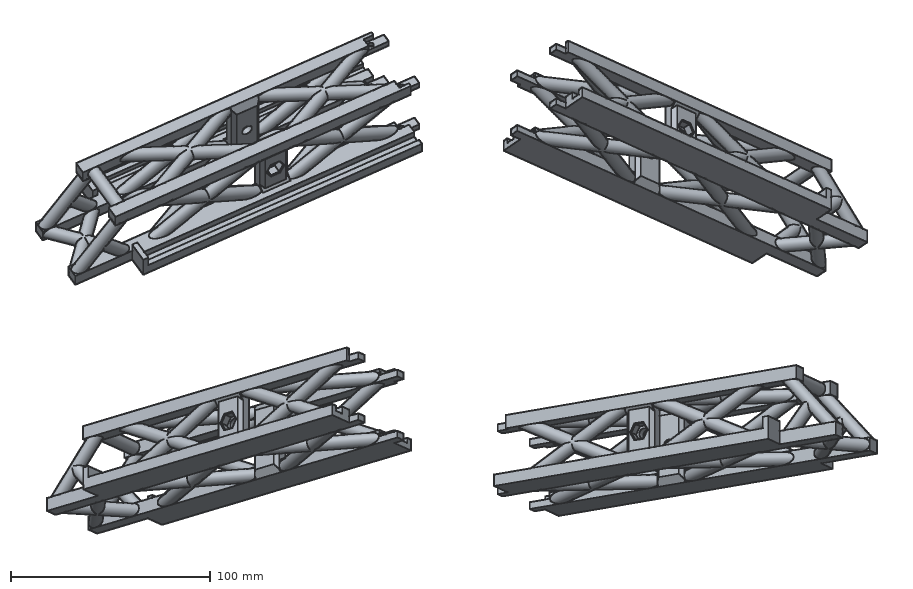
import cadquery as cq
total_length = 199.8
bar = 7.0
frame_size = 40.0
lug_reach = 6.0
bar_end = total_length - lug_reach
upper_bar_start = 23.2
bar_offset = (frame_size - bar) / 2
mid_height = frame_size / 2
frame_side = -frame_size / 2
bar_levels = (bar / 2, frame_size - bar / 2)

brace_centres = (77.5, 155.0)
brace_half_length = 32.0
nose_centre = 16.4
nose_half_length = 14.8
cross_rod_y = 29.5

rail_start = 32.8

overall_width = 62.5
rail_width = (overall_width - frame_size) / 2
rail_side = frame_side - rail_width
lip_width = 3.0
groove_width = 4.8
lip_height = 6.0
groove_floor = 3.2
stop_thickness = 3.0
stop_height = 12.0

lug_width = 5.0
lug_height = 3.5
lug_length = 11.5
lug_hole_diameter = 2.5
lug_hole_depth = 2.4
lug_hole_y = total_length - 8.8

panel_y = sum(brace_centres) / 2
panel_length = 16.0
panel_face_length = 12.0
panel_chamfer = (panel_length - panel_face_length) / 2
panel_protrusion = 3.0
panel_recess = 1.2
panel_bevel_rise = 4.0
panel_hole_diameter = 5.5
nut_across_corners = 9.4
nut_depth = 5.0
nut_chamfer = 0.5


def box(x_range, y_range, z_range):
    """Block spanning the given coordinate ranges."""
    size = [end - start for start, end in (x_range, y_range, z_range)]
    corner = (x_range[0], y_range[0], z_range[0])
    return cq.Workplane("XY").box(*size, centered=False).translate(corner)


def rod(start, end):
    """Round rod between two points."""
    a = cq.Vector(*start)
    axis = cq.Vector(*end) - a
    return cq.Workplane(obj=cq.Solid.makeCylinder(bar / 2, axis.Length, a, axis))


def braced_x(centre_y, half_length, place):
    """Two crossed rods; `place` maps (y, offset from the crossing) to a point."""
    rising = rod(
        place(centre_y - half_length, -bar_offset),
        place(centre_y + half_length, bar_offset),
    )
    falling = rod(
        place(centre_y - half_length, bar_offset),
        place(centre_y + half_length, -bar_offset),
    )
    return rising.union(falling)


def level_plane(z):
    """Placement in the horizontal plane at height z."""
    return lambda y, offset: (offset, y, z)


def left_plane(y, offset):
    """Placement in the vertical plane through the left-hand bars."""
    return (-bar_offset, y, mid_height + offset)


def bar_with_lug(start_y, level):
    """Left-hand bar along Y whose back end carries a drilled lug."""
    x_range = (frame_side, frame_side + bar)
    bottom = level - bar / 2
    lug_x = (x_range[1] - lug_width, x_range[1])
    lug_y = (total_length - lug_length, total_length)
    lug_z = (bottom, bottom + lug_height)
    hole = cq.Workplane("XY", origin=(sum(lug_x) / 2, lug_hole_y, lug_z[1]))
    return (
        box(x_range, (start_y, bar_end), (bottom, bottom + bar))
        .cut(box(lug_x, lug_y, (bottom, bottom + bar)))
        .union(box(lug_x, lug_y, lug_z))
        .cut(hole.circle(lug_hole_diameter / 2).extrude(-lug_hole_depth))
    )


def left_rail():
    """Grooved side rail, closed at the front by a taller stop plate."""
    groove_start = rail_side + lip_width
    groove_end = groove_start + groove_width
    rail_y = (rail_start, bar_end)
    stop_y = (rail_start, rail_start + stop_thickness)
    return (
        box((rail_side, groove_start), rail_y, (0, lip_height))
        .union(box((groove_start, groove_end), rail_y, (0, groove_floor)))
        .union(box((groove_end, frame_side), rail_y, (0, bar)))
        .union(box((rail_side, frame_side), stop_y, (0, stop_height)))
    )


def panel_blank(outer_x, inner_x):
    """Chamfered upright plate, sloped at its inner top and bottom edges."""
    half_length = panel_length / 2
    half_face = panel_face_length / 2
    outline = [
        (outer_x, -half_face),
        (outer_x + panel_chamfer, -half_length),
        (inner_x - panel_chamfer, -half_length),
        (inner_x, -half_face),
        (inner_x, half_face),
        (inner_x - panel_chamfer, half_length),
        (outer_x + panel_chamfer, half_length),
        (outer_x, half_face),
    ]
    upright = cq.Workplane("XY", origin=(0, panel_y, 0)).polyline(outline).close().extrude(frame_size)
    bevel_x = inner_x - panel_protrusion
    profile = [
        (outer_x, 0),
        (bevel_x, 0),
        (inner_x, panel_bevel_rise),
        (inner_x, frame_size - panel_bevel_rise),
        (bevel_x, frame_size),
        (outer_x, frame_size),
    ]
    return upright.intersect(panel_prism(profile))


def panel_prism(profile):
    """Prism with the given (x, z) profile, as long as the panel."""
    start = cq.Workplane("XZ", origin=(0, panel_y + panel_length / 2, 0))
    return start.polyline(profile).close().extrude(panel_length)


def panel_flare(bar_face, direction):
    """45-degree wedge from the recessed panel face out to the edge of a bar."""
    reach = panel_recess + panel_chamfer
    return panel_prism(
        [
            (frame_side, bar_face),
            (frame_side + reach, bar_face + direction * reach),
            (frame_side + reach, bar_face),
        ]
    )


def left_panel():
    """Panel flared into both bars, with a through hole and an outer nut recess."""
    outer_x = frame_side + panel_recess
    inner_x = frame_side + bar + panel_protrusion
    outer_face = cq.Workplane("YZ", origin=(outer_x, panel_y, mid_height))
    hole = outer_face.circle(panel_hole_diameter / 2).extrude(inner_x - outer_x)
    nut = outer_face.polygon(6, nut_across_corners).extrude(nut_depth)
    nut_mouth = (
        outer_face.polygon(6, nut_across_corners + 2 * nut_chamfer)
        .workplane(offset=nut_chamfer)
        .polygon(6, nut_across_corners)
        .loft(ruled=True)
    )
    return (
        panel_blank(outer_x, inner_x)
        .union(panel_flare(bar, 1))
        .union(panel_flare(frame_size - bar, -1))
        .cut(hole)
        .cut(nut)
        .cut(nut_mouth)
    )


def front_post():
    """Slanted rod from the lower bar to the upper bar, with the short strut that meets it."""
    centre = left_plane(nose_centre, 0)
    top = left_plane(nose_centre + nose_half_length, bar_offset)
    front_foot = left_plane(nose_centre - nose_half_length, -bar_offset)
    back_foot = left_plane(nose_centre + nose_half_length, -bar_offset)
    return rod(front_foot, top).union(rod(back_foot, centre))


left_half = (
    bar_with_lug(0, bar_levels[0])
    .union(bar_with_lug(upper_bar_start, bar_levels[1]))
    .union(left_rail())
    .union(left_panel())
    .union(front_post())
)
for centre_y in brace_centres:
    left_half = left_half.union(braced_x(centre_y, brace_half_length, left_plane))

result = left_half.union(left_half.mirror("YZ"))
for level in bar_levels:
    for centre_y in brace_centres:
        result = result.union(braced_x(centre_y, brace_half_length, level_plane(level)))
result = result.union(braced_x(nose_centre, nose_half_length, level_plane(bar_levels[0])))
cross_rod_ends = [(side * bar_offset, cross_rod_y, bar_levels[1]) for side in (-1, 1)]
result = result.union(rod(*cross_rod_ends))

result = result.intersect(box((rail_side, -rail_side), (0, total_length), (0, frame_size)))